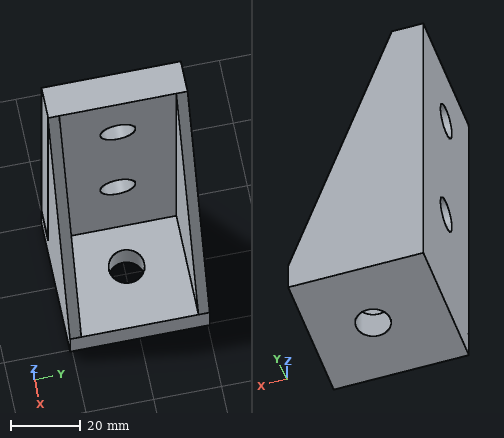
import cadquery as cq

length = 41.3
width = 41.3
height = 101.6

plate_thickness = 9.7
base_thickness = 9.6
rib_thickness = 3.4

plate_inset = 0.1

hole_diameter = 10.4
base_hole_x = 22.3
wall_hole_heights = (39.6, 80.9)

mid_y = width / 2


def make_rib(start_y):
    """Triangular side rib joining the base to the upright plate."""
    outline = [
        (plate_thickness, base_thickness),
        (length, base_thickness),
        (plate_thickness, height),
    ]
    rib = cq.Workplane("XZ").polyline(outline).close().extrude(-rib_thickness)
    return rib.translate((0, start_y, 0))


base = cq.Workplane("XY").box(length, width, base_thickness, centered=False)
plate = (
    cq.Workplane("XY")
    .box(plate_thickness, width - plate_inset, height, centered=False)
    .translate((0, plate_inset, 0))
)
bracket = base.union(plate)

for rib_start in (0, width - rib_thickness):
    bracket = bracket.union(make_rib(rib_start))

base_hole = (
    cq.Workplane("XY")
    .center(base_hole_x, mid_y)
    .circle(hole_diameter / 2)
    .extrude(base_thickness)
)
bracket = bracket.cut(base_hole)

for hole_height in wall_hole_heights:
    wall_hole = (
        cq.Workplane("YZ")
        .center(mid_y, hole_height)
        .circle(hole_diameter / 2)
        .extrude(plate_thickness)
    )
    bracket = bracket.cut(wall_hole)

result = bracket